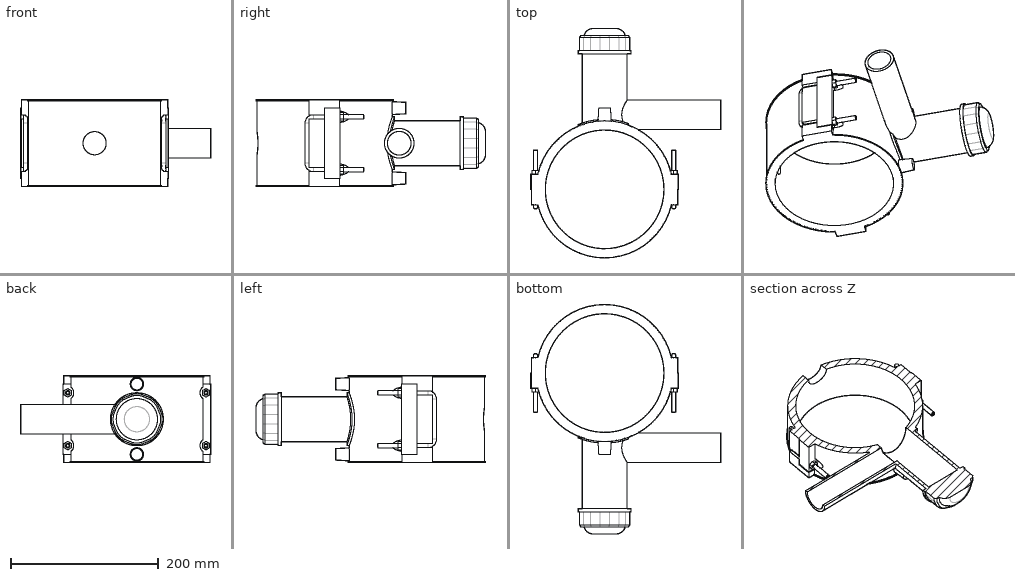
import cadquery as cq
import math

ring_height = 118.0
ring_inner_radius = 80.2
ring_radius = 91.8
lip_radius = 93.0
lip_height = 1.5
drain_hole_diameter = 31.5

ear_reach = 99.2
ear_root = 84.0
ear_front_depth = 20.8
ear_back_depth = 20.0
plate_thickness = 1.0
plate_height = 95.2

bolt_x = 93.5
bolt_diameter = 6.0
bolt_slot_height = 5.5
bolt_seat_depth = 0.15
bolt_leg_z = 35.8
bolt_bend_radius = 8.7
bolt_tip_y = 53.5
bolt_tip_chamfer = 1.0
nut_across_flats = 10.0
nut_sides = 6
nut_thickness = 5.0
clearance_diameter = 20.0
clearance_x = 95.5
clearance_length = 31.0

pipe_diameter = 61.3
pipe_bore_diameter = 50.5
saddle_diameter = 72.0
saddle_radius = 95.0

side_diameter = 40.0
side_bore_diameter = 32.0
side_y = 101.0
side_end_x = 157.5

stub_z = 47.5
stub_base_diameter = 18.0
stub_tip_diameter = 16.0
stub_tip_y = 110.0

cap_flange_diameter = 72.0
cap_start_y = 183.5
cap_flange_thickness = 4.5
cap_grip_diameter = 68.7
cap_grip_top_y = 208.7
cap_grip_chamfer = 2.2
cap_grip_chamfer_height = 3.0
cap_flat_count = 8
cap_flat_half_angle = 11.5
dome_base_radius = 28.0
dome_shoulder_radius = 25.0
dome_shoulder_y = 214.0
dome_top_radius = 17.0
overall_y = 311.0

cap_top_y = overall_y - lip_radius
plate_back_y = ear_back_depth + plate_thickness
plate_reach = ear_reach + plate_thickness
bolt_cross_y = -ear_front_depth - bolt_diameter / 2 + bolt_seat_depth


def disc_z(radius, z_start, height):
    return cq.Workplane("XY", origin=(0, 0, z_start)).circle(radius).extrude(height)


def rod_y(diameter, y_start, y_end, x=0, z=0):
    """Cylinder parallel to Y."""
    plane = cq.Plane(origin=(x, y_start, z), xDir=(1, 0, 0), normal=(0, 1, 0))
    return cq.Workplane(plane).circle(diameter / 2).extrude(y_end - y_start)


def block(x_range, y_range, height, z=0):
    size_x = x_range[1] - x_range[0]
    size_y = y_range[1] - y_range[0]
    center = (sum(x_range) / 2, sum(y_range) / 2, z)
    return cq.Workplane("XY").box(size_x, size_y, height).translate(center)


def both_sides(shape):
    """The shape on the +X side together with its mirror image on the -X side."""
    return shape.union(shape.mirror("YZ"))


def make_ring():
    ring = disc_z(ring_radius, -ring_height / 2, ring_height)
    for z_start in (-ring_height / 2, ring_height / 2 - lip_height):
        ring = ring.union(disc_z(lip_radius, z_start, lip_height))
    return ring


def make_ear():
    """Ear with its cover plate and the side slots for the U-bolt legs."""
    ear = block((ear_root, ear_reach), (-ear_front_depth, ear_back_depth), ring_height)
    plate = block((bolt_x - nut_across_flats / 2, plate_reach), (0, plate_back_y), plate_height)
    ear = ear.union(plate)
    for z in (-bolt_leg_z, bolt_leg_z):
        ear = ear.cut(block((bolt_x, plate_reach), (-ear_front_depth, 0), bolt_slot_height, z))
    return ear


def make_nut_clearances():
    """Recesses in the ring wall that make room for the nuts."""
    return [
        rod_y(clearance_diameter, plate_back_y, plate_back_y + clearance_length, x, z)
        for x in (-clearance_x, clearance_x)
        for z in (-bolt_leg_z, bolt_leg_z)
    ]


def make_u_bolt():
    """Bent rod with its crossbar seated on the ear's -Y face and a nut on each leg."""
    bend_y = bolt_cross_y + bolt_bend_radius
    bend_z = bolt_leg_z - bolt_bend_radius
    bend_mid = bolt_bend_radius * math.sqrt(0.5)
    path = (
        cq.Workplane("YZ", origin=(bolt_x, 0, 0))
        .moveTo(bolt_tip_y, bolt_leg_z)
        .lineTo(bend_y, bolt_leg_z)
        .threePointArc((bend_y - bend_mid, bend_z + bend_mid), (bolt_cross_y, bend_z))
        .lineTo(bolt_cross_y, -bend_z)
        .threePointArc((bend_y - bend_mid, -bend_z - bend_mid), (bend_y, -bolt_leg_z))
        .lineTo(bolt_tip_y, -bolt_leg_z)
    )
    bolt = (
        cq.Workplane("XZ", origin=(bolt_x, bolt_tip_y, bolt_leg_z))
        .circle(bolt_diameter / 2)
        .sweep(path)
        .faces(">Y")
        .chamfer(bolt_tip_chamfer)
    )
    nut_turn = 180 / nut_sides
    nut_across_corners = nut_across_flats / math.cos(math.radians(nut_turn))
    for z in (-bolt_leg_z, bolt_leg_z):
        nut = (
            cq.Workplane("XY")
            .polygon(nut_sides, nut_across_corners)
            .extrude(nut_thickness)
            .rotate((0, 0, 0), (0, 0, 1), nut_turn)
            .rotate((0, 0, 0), (1, 0, 0), -90)
            .translate((bolt_x, plate_back_y, z))
        )
        bolt = bolt.union(nut)
    return bolt


def make_saddle():
    return rod_y(saddle_diameter, 0, overall_y).intersect(
        disc_z(saddle_radius, -ring_height / 2, ring_height)
    )


def make_side_pipe(diameter):
    return cq.Workplane("YZ").center(side_y, 0).circle(diameter / 2).extrude(side_end_x)


def make_stub(z):
    base_y = (ring_inner_radius + ring_radius) / 2
    return (
        cq.Workplane("XY")
        .moveTo(0, base_y)
        .lineTo(stub_base_diameter / 2, base_y)
        .lineTo(stub_base_diameter / 2, ring_radius)
        .lineTo(stub_tip_diameter / 2, stub_tip_y)
        .lineTo(0, stub_tip_y)
        .close()
        .revolve(360, (0, 0, 0), (0, 1, 0))
        .translate((0, 0, z))
    )


def make_cap():
    grip_radius = cap_grip_diameter / 2
    grip_edge_y = cap_grip_top_y - cap_grip_chamfer_height
    grip = rod_y(cap_grip_diameter, cap_start_y, grip_edge_y)
    flat_distance = grip_radius * math.cos(math.radians(cap_flat_half_angle))
    flat_cutter = block(
        (flat_distance, 2 * grip_radius), (cap_start_y, cap_grip_top_y), cap_grip_diameter
    )
    flat_pitch = 360 / cap_flat_count
    for index in range(cap_flat_count):
        angle = (index + 0.5) * flat_pitch
        grip = grip.cut(flat_cutter.rotate((0, 0, 0), (0, 1, 0), angle))
    chamfer_angle = math.degrees(math.atan2(cap_grip_chamfer, cap_grip_chamfer_height))
    grip_edge = grip.faces(">Y").wires().toPending()
    grip = grip_edge.extrude(cap_grip_chamfer_height, taper=chamfer_angle)
    flange = rod_y(cap_flange_diameter, cap_start_y, cap_start_y + cap_flange_thickness)
    dome = (
        cq.Workplane("XY")
        .moveTo(0, cap_grip_top_y)
        .lineTo(dome_base_radius, cap_grip_top_y)
        .threePointArc((dome_shoulder_radius, dome_shoulder_y), (dome_top_radius, cap_top_y))
        .lineTo(0, cap_top_y)
        .close()
        .revolve(360, (0, 0, 0), (0, 1, 0))
    )
    return grip.union(flange).union(dome)


body = make_ring().union(both_sides(make_ear()))
for clearance in make_nut_clearances():
    body = body.cut(clearance)
body = body.union(make_saddle())
body = body.union(rod_y(pipe_diameter, 0, cap_start_y))
body = body.union(make_side_pipe(side_diameter))
for stub_side in (-stub_z, stub_z):
    body = body.union(make_stub(stub_side))

body = body.cut(disc_z(ring_inner_radius, -ring_height / 2, ring_height))
body = body.cut(rod_y(pipe_bore_diameter, 0, cap_start_y))
body = body.cut(make_side_pipe(side_bore_diameter))
body = body.cut(rod_y(drain_hole_diameter, -lip_radius, 0))

result = body.union(make_cap()).union(both_sides(make_u_bolt()))